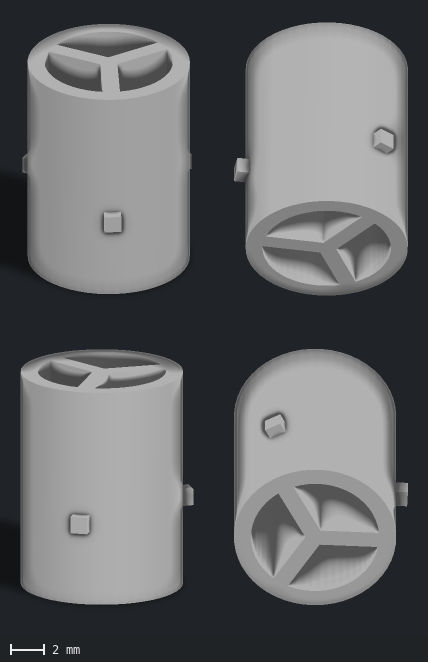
import cadquery as cq

height = 13.0
outer_diameter = 9.6
inner_diameter = 7.59

arm_angles = (60, 180, 300)
web_thickness = 1.0
peg_size = web_thickness
peg_tip_radius = 5.47
peg_bottom = 4.5

outer_radius = outer_diameter / 2
wall_middle_radius = (outer_diameter + inner_diameter) / 4


def radial_bar(start, end, width, bottom, bar_height, angle):
    """Box running outward from radius start to radius end at the given angle."""
    return (
        cq.Workplane("XY")
        .box(end - start, width, bar_height, centered=(False, True, False))
        .translate((start, 0, bottom))
        .rotate((0, 0, 0), (0, 0, 1), angle)
    )


result = (
    cq.Workplane("XY")
    .circle(outer_radius)
    .circle(inner_diameter / 2)
    .extrude(height)
)

for angle in arm_angles:
    web = radial_bar(0, wall_middle_radius, web_thickness, 0, height, angle)
    peg = radial_bar(wall_middle_radius, peg_tip_radius, peg_size, peg_bottom, peg_size, angle)
    result = result.union(web).union(peg)